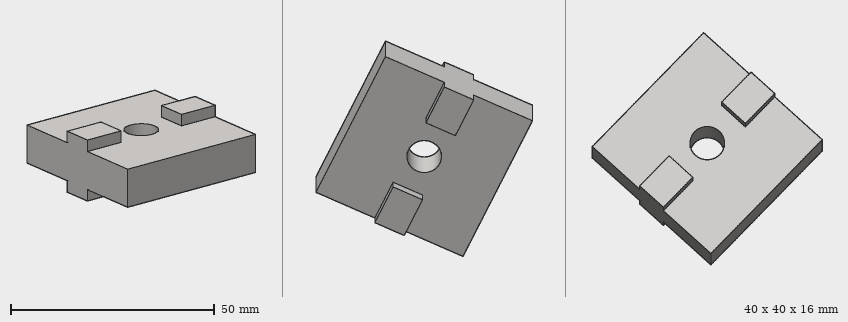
import cadquery as cq

side = 40.0
plate_thickness = 10.0
hole_diameter = 8.5

overall_height = 16.0
key_width = 8.0
key_length = 10.55
key_offset = (side - key_length) / 2


def make_plate():
    return cq.Workplane("XY").box(side, side, plate_thickness)


def make_key(y_center):
    """One full-height bar that forms the upper and lower key at one edge."""
    return cq.Workplane("XY").box(key_width, key_length, overall_height).translate((0, y_center, 0))


def make_center_hole():
    return cq.Workplane("XY").cylinder(overall_height, hole_diameter / 2)


body = make_plate()
for y_center in (-key_offset, key_offset):
    body = body.union(make_key(y_center))

result = body.cut(make_center_hole())